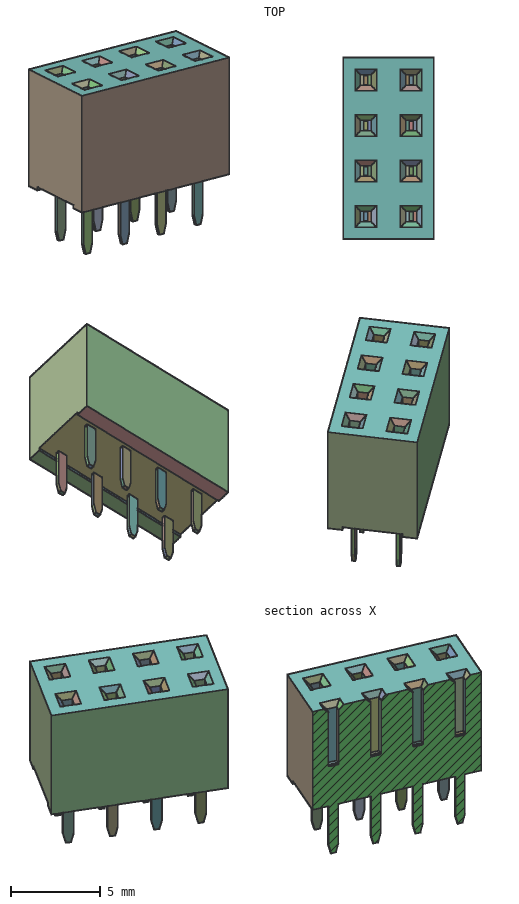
import cadquery as cq

pitch = 2.54
columns = 2
rows = 4

body_x = columns * pitch
body_y = rows * pitch
body_height = 7.0
channel_width = 3.4
channel_height = 0.2

mouth_size = 1.2
hole_size = 0.6
funnel_depth = 0.3
hole_bottom_z = 3.0

slot_thickness = 0.2
slot_end_inset = 0.05
slot_depth = slot_end_inset

pin_thickness = 0.2
pin_width = 0.6
pin_length = 3.1
tip_width = 0.3
tip_height = 0.6


def make_body():
    """Rectangular block with a shallow channel along Y between its two feet."""
    block = cq.Workplane("XY").box(body_x, body_y, body_height, centered=(True, True, False))
    channel = cq.Workplane("XY").box(
        channel_width, body_y, channel_height, centered=(True, True, False)
    )
    return block.cut(channel)


def make_socket():
    """Cutter for one opening: square funnel, straight hole and floor slot."""
    funnel_bottom_z = body_height - funnel_depth
    funnel = (
        cq.Workplane("XY", origin=(0, 0, funnel_bottom_z))
        .rect(hole_size, hole_size)
        .workplane(offset=funnel_depth)
        .rect(mouth_size, mouth_size)
        .loft(ruled=True)
    )
    hole = cq.Workplane("XY", origin=(0, 0, hole_bottom_z)).box(
        hole_size, hole_size, funnel_bottom_z - hole_bottom_z, centered=(True, True, False)
    )
    slot_top = hole_size / 2
    slot_bottom = slot_top - slot_end_inset
    slot_bottom_z = hole_bottom_z - slot_depth
    slot = (
        cq.Workplane("YZ")
        .polyline([
            (-slot_top, hole_bottom_z),
            (-slot_bottom, slot_bottom_z),
            (slot_bottom, slot_bottom_z),
            (slot_top, hole_bottom_z),
        ])
        .close()
        .extrude(slot_thickness / 2, both=True)
    )
    return funnel.union(hole).union(slot)


def make_pin():
    """Flat pin hanging from the channel roof, tapered in width at its tip."""
    tip_start_z = tip_height - pin_length
    return (
        cq.Workplane("YZ")
        .polyline([
            (-pin_width / 2, channel_height),
            (-pin_width / 2, tip_start_z),
            (-tip_width / 2, -pin_length),
            (tip_width / 2, -pin_length),
            (pin_width / 2, tip_start_z),
            (pin_width / 2, channel_height),
        ])
        .close()
        .extrude(pin_thickness / 2, both=True)
    )


result = make_body()
socket = make_socket()
pin = make_pin()
for column in range(columns):
    for row in range(rows):
        x = (column - (columns - 1) / 2) * pitch
        y = (row - (rows - 1) / 2) * pitch
        result = result.cut(socket.translate((x, y, 0)))
        result = result.union(pin.translate((x, y, 0)))